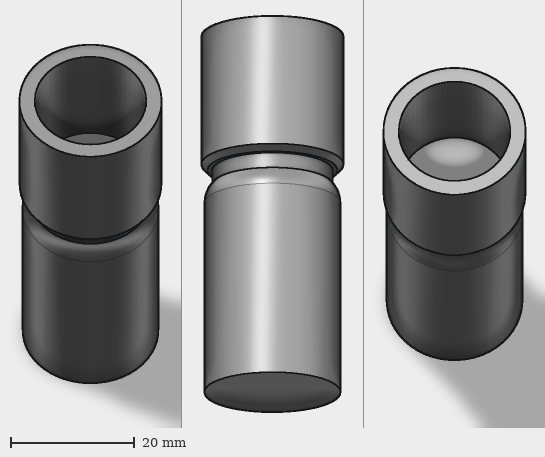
import cadquery as cq
import math

total_length = 60.1
collar_diameter = 23.0
neck_diameter = 19.5
body_diameter = 22.0
bore_diameter = 18.0

body_length = 35.0
shoulder_length = 3.0
neck_length = 2.5
collar_chamfer = 1.0

bore_depth = 20.0

collar_radius = collar_diameter / 2
neck_radius = neck_diameter / 2
body_radius = body_diameter / 2
collar_bottom = body_length + neck_length
shoulder_bottom = body_length - shoulder_length

shoulder_step = body_radius - neck_radius
shoulder_radius = (shoulder_length**2 + shoulder_step**2) / (2 * shoulder_step)
half_sweep = math.asin(shoulder_length / shoulder_radius) / 2
shoulder_middle = (
    body_radius - shoulder_radius * (1 - math.cos(half_sweep)),
    shoulder_bottom + shoulder_radius * math.sin(half_sweep),
)


def make_body():
    """Revolve the outer profile: body, rounded shoulder, neck and chamfered collar."""
    profile = (
        cq.Workplane("XZ")
        .lineTo(body_radius, 0)
        .lineTo(body_radius, shoulder_bottom)
        .threePointArc(shoulder_middle, (neck_radius, body_length))
        .lineTo(neck_radius, collar_bottom)
        .lineTo(collar_radius - collar_chamfer, collar_bottom)
        .lineTo(collar_radius, collar_bottom + collar_chamfer)
        .lineTo(collar_radius, total_length)
        .lineTo(0, total_length)
        .close()
    )
    return profile.revolve(360, (0, 0), (0, 1))


def make_bore():
    """Blind round socket, open at the top of the collar."""
    bore_floor = cq.Workplane("XY").workplane(offset=total_length - bore_depth)
    return bore_floor.circle(bore_diameter / 2).extrude(bore_depth)


result = make_body().cut(make_bore())